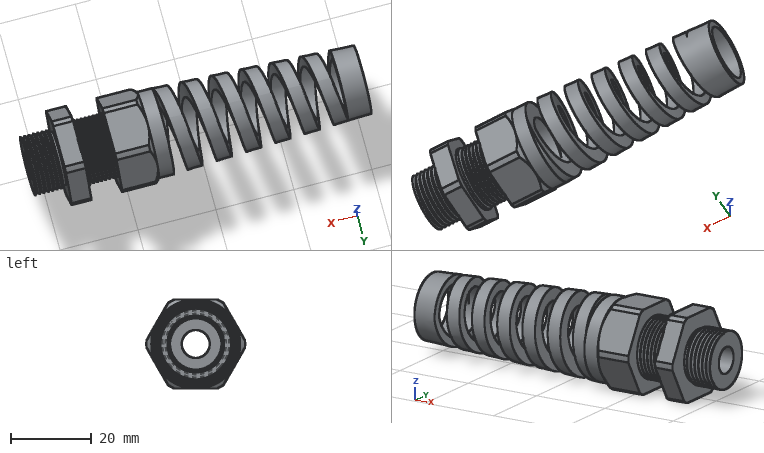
import cadquery as cq
import math

COLLAR_END = 6.1
NUT_START = 51.25
NUT_HEX_START = 55.1
CONE_END = 56.2
TIP_START = 58.55
NUT_END = 64.9
SHOULDER_START = 72.1
BODY_HEX_START = 72.8
BODY_HEX_END = 77.9
TOTAL_LENGTH = 85.85

ACROSS_FLATS = 22.1
ACROSS_CORNERS = 24.55
FLAT_RADIUS = ACROSS_FLATS / 2
CORNER_RADIUS = ACROSS_CORNERS / 2

MOUTH_RADIUS = 8.75
SPRING_END_RADIUS = 11.0
MOUTH_BORE_RADIUS = 7.0
SPRING_BORE_RADIUS = 6.8
SIX_TURN_ADVANCE = 45.6
PITCH = SIX_TURN_ADVANCE / 6
BAND_WIDTH = 3.8
SLOT_OVERCUT = 0.4

HOLE_RADIUS = 3.4
TIP_RADIUS = 6.35
SHOULDER_RADIUS = 8.4
NUT_THREAD_CREST = 8.15
NUT_THREAD_ROOT = 7.6
NUT_THREAD_PITCH = 1.0
NUT_THREAD_TURNS = 6
END_THREAD_CREST = 7.5
END_THREAD_ROOT = 6.9
END_THREAD_PITCH = 1.1
END_THREAD_TURNS = 6


def revolve_about_axis(points):
    """Solid of revolution about X from (x, radius) points."""
    return cq.Workplane("XZ").polyline(points).close().revolve(360, (0, 0, 0), (1, 0, 0))


def cylinder(start, end, radius):
    return cq.Workplane("YZ", origin=(start, 0, 0)).circle(radius).extrude(end - start)


def hexagon(start, end):
    """Hexagonal prism with flats on top and bottom and corners turned round."""
    sharp_corner_diameter = ACROSS_FLATS / math.cos(math.pi / 6)
    prism = cq.Workplane("YZ", origin=(start, 0, 0)).polygon(6, sharp_corner_diameter).extrude(end - start)
    return prism.intersect(cylinder(start, end, CORNER_RADIUS))


def spring_sleeve():
    """Tapered sleeve from the mouth to the nut, not yet slotted."""
    return revolve_about_axis([
        (0, MOUTH_BORE_RADIUS),
        (0, MOUTH_RADIUS),
        (NUT_START, SPRING_END_RADIUS),
        (NUT_START, SPRING_BORE_RADIUS),
        (COLLAR_END, SPRING_BORE_RADIUS),
    ])


def spiral_slot():
    """Right-hand helical slot: a ring sector twisted along X, thicker than the sleeve wall."""
    length = NUT_START - COLLAR_END
    inner_radius = SPRING_BORE_RADIUS - SLOT_OVERCUT
    outer_radius = SPRING_END_RADIUS + SLOT_OVERCUT
    sector_angle = 2 * math.pi * (PITCH - BAND_WIDTH) / PITCH

    def rim_point(radius, angle):
        return radius * math.cos(angle), radius * math.sin(angle)

    return (
        cq.Workplane("YZ", origin=(COLLAR_END, 0, 0))
        .moveTo(*rim_point(inner_radius, 0))
        .lineTo(*rim_point(outer_radius, 0))
        .threePointArc(rim_point(outer_radius, sector_angle / 2), rim_point(outer_radius, sector_angle))
        .lineTo(*rim_point(inner_radius, sector_angle))
        .threePointArc(rim_point(inner_radius, sector_angle / 2), rim_point(inner_radius, 0))
        .close()
        .twistExtrude(length, 360 * length / PITCH)
    )


def nut_head():
    """Hexagon with a round lead-in, bored for the cable and the gland body."""
    cone_envelope = revolve_about_axis([
        (NUT_HEX_START, 0),
        (NUT_HEX_START, FLAT_RADIUS),
        (CONE_END, CORNER_RADIUS),
        (NUT_END, CORNER_RADIUS),
        (NUT_END, 0),
    ])
    head = hexagon(NUT_HEX_START, NUT_END).intersect(cone_envelope)
    head = head.union(cylinder(NUT_START, NUT_HEX_START, FLAT_RADIUS))
    head = head.cut(cylinder(NUT_START, NUT_END, SPRING_BORE_RADIUS))
    return head.cut(cylinder(TIP_START, NUT_END, NUT_THREAD_CREST))


def dome_nut():
    """Nut head carrying the spiral spring."""
    spring = spring_sleeve().cut(spiral_slot())
    return nut_head().union(spring)


def thread_ridges(start, pitch, turns, crest, root):
    """(x, radius) points of V-shaped ridges: a crest at start, then a root and a crest per pitch."""
    points = [(start, crest)]
    for turn in range(turns):
        points.append((start + (turn + 0.5) * pitch, root))
        points.append((start + (turn + 1) * pitch, crest))
    return points


def gland_body():
    """Threaded body with a hexagon, its plain end seated in the nut."""
    nut_thread_end = NUT_END + NUT_THREAD_TURNS * NUT_THREAD_PITCH
    end_thread_start = TOTAL_LENGTH - END_THREAD_TURNS * END_THREAD_PITCH
    tip_chamfer = NUT_THREAD_CREST - TIP_RADIUS
    profile = [
        (TIP_START, HOLE_RADIUS),
        (TIP_START, TIP_RADIUS),
        (TIP_START + tip_chamfer, NUT_THREAD_CREST),
        *thread_ridges(NUT_END, NUT_THREAD_PITCH, NUT_THREAD_TURNS, NUT_THREAD_CREST, NUT_THREAD_ROOT),
        (nut_thread_end + NUT_THREAD_PITCH / 2, NUT_THREAD_ROOT),
        (SHOULDER_START, SHOULDER_RADIUS),
        (BODY_HEX_START, SHOULDER_RADIUS),
        (BODY_HEX_START, END_THREAD_ROOT),
        (end_thread_start - END_THREAD_PITCH / 2, END_THREAD_ROOT),
        *thread_ridges(end_thread_start, END_THREAD_PITCH, END_THREAD_TURNS, END_THREAD_CREST, END_THREAD_ROOT),
        (TOTAL_LENGTH, HOLE_RADIUS),
    ]
    hole = cylinder(TIP_START, TOTAL_LENGTH, HOLE_RADIUS)
    return revolve_about_axis(profile).union(hexagon(BODY_HEX_START, BODY_HEX_END)).cut(hole)


nut = dome_nut()
body = gland_body()
result = cq.Compound.makeCompound([nut.solids().val(), body.solids().val()])